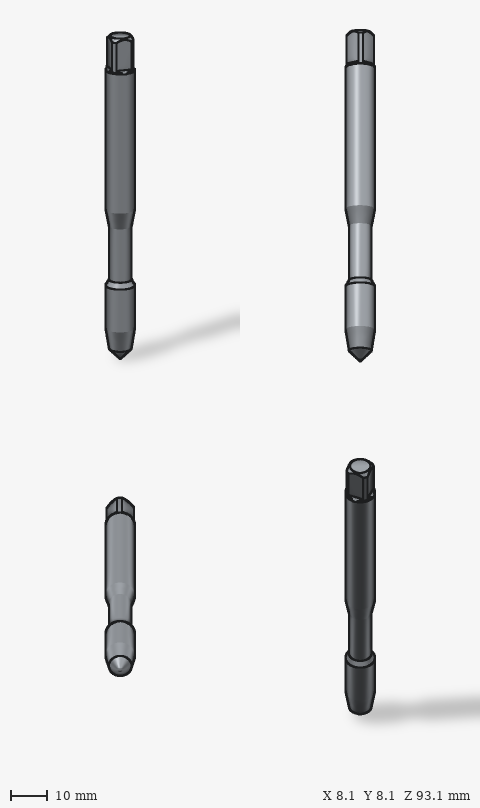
import cadquery as cq

total_length = 93.1

head_diameter = 8.1
tip_diameter = 6.2
tip_height = tip_diameter / 2
lead_top = 8.9
head_top = 21.3

neck_diameter = 6.2
collar_diameter = 8.0
neck_bottom = 23.0
neck_top = 38.3
shank_diameter = 8.1
shank_bottom = 43.1
shank_top = 83.2

drive_diameter = 7.6
drive_width = 6.2
drive_top_diameter = 5.6
shank_chamfer = (shank_diameter - drive_diameter) / 2
drive_chamfer = (drive_diameter - drive_top_diameter) / 2
flat_bottom = 84.1


def revolve_profile(points):
    """Turn (radius, height) points into a solid around Z."""
    return cq.Workplane("XZ").polyline(points).close().revolve(360, (0, 0), (0, 1))


def make_cutting_head():
    """Cylindrical head with a tapered lead and a conical point."""
    return revolve_profile([
        (0, 0),
        (tip_diameter / 2, tip_height),
        (head_diameter / 2, lead_top),
        (head_diameter / 2, head_top),
        (0, head_top),
    ])


def make_flat_cutter():
    """Material outside one drive flat, with a 45 degree run-out at its lower end."""
    inner = drive_width / 2
    outer = shank_diameter
    profile = [
        (inner, flat_bottom),
        (outer, flat_bottom - (outer - inner)),
        (outer, total_length),
        (inner, total_length),
    ]
    return cq.Workplane("XZ").polyline(profile).close().extrude(shank_diameter, both=True)


def make_shank():
    """Flared neck, cylindrical shank and driving square."""
    shank = revolve_profile([
        (0, head_top),
        (collar_diameter / 2, head_top),
        (neck_diameter / 2, neck_bottom),
        (neck_diameter / 2, neck_top),
        (shank_diameter / 2, shank_bottom),
        (shank_diameter / 2, shank_top),
        (drive_diameter / 2, shank_top + shank_chamfer),
        (drive_diameter / 2, total_length - drive_chamfer),
        (drive_top_diameter / 2, total_length),
        (0, total_length),
    ])
    flat_cutter = make_flat_cutter()
    for angle in (0, 90, 180, 270):
        shank = shank.cut(flat_cutter.rotate((0, 0, 0), (0, 0, 1), angle))
    return shank


cutting_head = make_cutting_head()
shank = make_shank()
result = cq.Compound.makeCompound([cutting_head.val(), shank.val()])